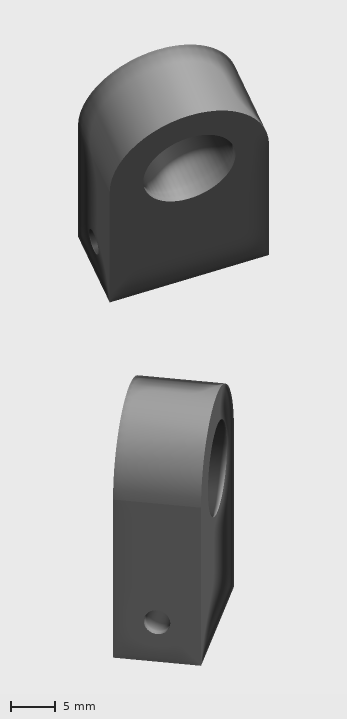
import cadquery as cq

height = 29.5
width = 19.0
thickness = 10.0
bore_diameter = 11.0
cross_hole_diameter = 3.0

top_radius = width / 2
bore_height = height - top_radius
cross_hole_height = thickness / 2


def make_body():
    """Upright plate with a round top, centred on X and Y, standing on Z = 0."""
    return (
        cq.Workplane("YZ", origin=(-thickness / 2, 0, 0))
        .moveTo(-width / 2, 0)
        .lineTo(width / 2, 0)
        .lineTo(width / 2, bore_height)
        .threePointArc((0, height), (-width / 2, bore_height))
        .close()
        .extrude(thickness)
    )


def make_bore():
    """Cylinder along X, concentric with the round top."""
    return (
        cq.Workplane("YZ", origin=(-thickness / 2, 0, 0))
        .center(0, bore_height)
        .circle(bore_diameter / 2)
        .extrude(thickness)
    )


def make_cross_hole():
    """Cylinder along Y, passing through the full width near the base."""
    return (
        cq.Workplane("XZ", origin=(0, width / 2, 0))
        .center(0, cross_hole_height)
        .circle(cross_hole_diameter / 2)
        .extrude(width)
    )


result = make_body().cut(make_bore()).cut(make_cross_hole())